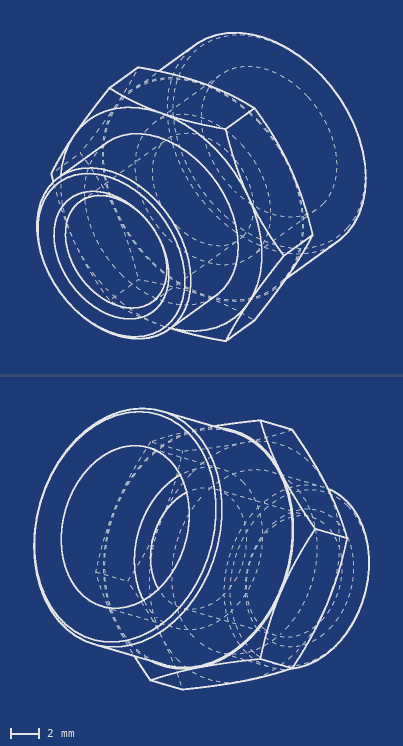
import cadquery as cq
import math

spigot_length = 6.0
hex_length = 5.0
socket_length = 7.99
total_length = spigot_length + hex_length + socket_length
hex_end = spigot_length + hex_length

across_corners = 19.63
across_flats = across_corners * math.cos(math.pi / 6)
spigot_diameter = 13.0
socket_diameter = 16.8
bore_diameter = 8.55
socket_bore_diameter = 11.45

end_chamfer = 0.3
bore_chamfer = 0.57
hex_chamfer_angle = math.radians(30)

socket_bore_depth = socket_length


def cylinder(diameter, start, length):
    """Cylinder on the Y axis, growing toward +Y from the given start."""
    plane = cq.Workplane("XZ", origin=(0, start, 0))
    return plane.circle(diameter / 2).extrude(-length)


def chamfered_hexagon():
    """Hexagon with corners on the X axis, both ends turned to a cone."""
    prism = (
        cq.Workplane("XZ", origin=(0, spigot_length, 0))
        .polygon(6, across_corners)
        .extrude(-hex_length)
    )
    corner_radius = across_corners / 2
    flat_radius = across_flats / 2
    cone_height = (corner_radius - flat_radius) * math.tan(hex_chamfer_angle)
    envelope = (
        cq.Workplane("XY")
        .moveTo(0, spigot_length)
        .lineTo(flat_radius, spigot_length)
        .lineTo(corner_radius, spigot_length + cone_height)
        .lineTo(corner_radius, hex_end - cone_height)
        .lineTo(flat_radius, hex_end)
        .lineTo(0, hex_end)
        .close()
        .revolve(360, (0, 0, 0), (0, 1, 0))
    )
    return prism.intersect(envelope)


spigot = cylinder(spigot_diameter, 0, hex_end).faces("<Y").chamfer(end_chamfer)
socket = cylinder(socket_diameter, hex_end, socket_length).faces(">Y").chamfer(end_chamfer)
body = spigot.union(chamfered_hexagon()).union(socket)

body = body.cut(cylinder(bore_diameter, 0, total_length))
body = body.cut(cylinder(socket_bore_diameter, total_length - socket_bore_depth, socket_bore_depth))

countersink = cq.Workplane(
    obj=cq.Solid.makeCone(
        bore_diameter / 2 + bore_chamfer,
        bore_diameter / 2,
        bore_chamfer,
        pnt=cq.Vector(0, 0, 0),
        dir=cq.Vector(0, 1, 0),
    )
)
body = body.cut(countersink)

result = body.translate((0, -total_length / 2, 0))